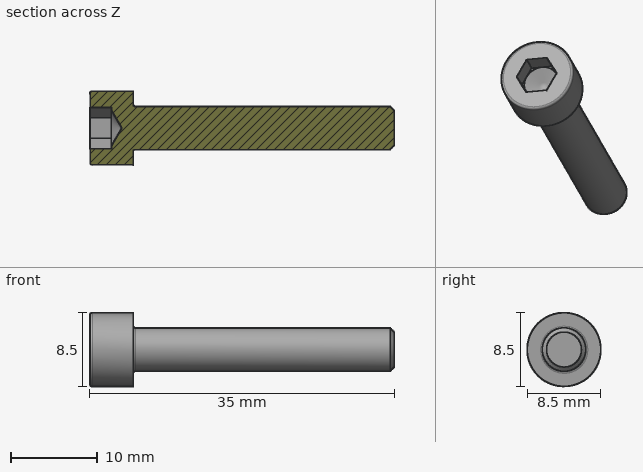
import cadquery as cq
import math

total_length = 35.0
head_diameter = 8.5
head_height = 5.0
shank_diameter = 5.0

head_edge_fillet = 0.28
neck_fillet = 0.2
tip_chamfer = 0.5

socket_across_flats = 4.1
socket_depth = 2.5
drill_point_angle = 120.0

head_face_x = -total_length / 2
bearing_face_x = head_face_x + head_height


def make_head():
    head = cq.Workplane("YZ", origin=(head_face_x, 0, 0)).circle(head_diameter / 2).extrude(head_height)
    return head.faces("<X").edges().fillet(head_edge_fillet)


def make_shank():
    shank_length = total_length - head_height
    shank = cq.Workplane("YZ", origin=(bearing_face_x, 0, 0)).circle(shank_diameter / 2).extrude(shank_length)
    return shank.faces(">X").edges().chamfer(tip_chamfer)


def make_neck():
    """Ring with a concave quarter-round between bearing face and shank."""
    shank_radius = shank_diameter / 2
    outer_radius = shank_radius + neck_fillet
    arc_offset = neck_fillet * (1 - math.sqrt(0.5))
    return (
        cq.Workplane("XY")
        .moveTo(bearing_face_x, 0)
        .lineTo(bearing_face_x, outer_radius)
        .threePointArc(
            (bearing_face_x + arc_offset, shank_radius + arc_offset),
            (bearing_face_x + neck_fillet, shank_radius),
        )
        .lineTo(bearing_face_x + neck_fillet, 0)
        .close()
        .revolve(360, (0, 0, 0), (1, 0, 0))
    )


def make_socket():
    """Hexagonal hole, corners toward +Y and -Y, ending in a drill cone."""
    across_corners = socket_across_flats / math.cos(math.radians(30))
    hexagon = (
        cq.Workplane("YZ", origin=(head_face_x, 0, 0))
        .polygon(6, across_corners)
        .extrude(socket_depth)
    )
    cone_radius = socket_across_flats / 2
    cone_depth = cone_radius / math.tan(math.radians(drill_point_angle / 2))
    cone = cq.Solid.makeCone(
        cone_radius,
        0,
        cone_depth,
        pnt=cq.Vector(head_face_x + socket_depth, 0, 0),
        dir=cq.Vector(1, 0, 0),
    )
    return hexagon.union(cone)


result = make_head().union(make_shank()).union(make_neck()).cut(make_socket())